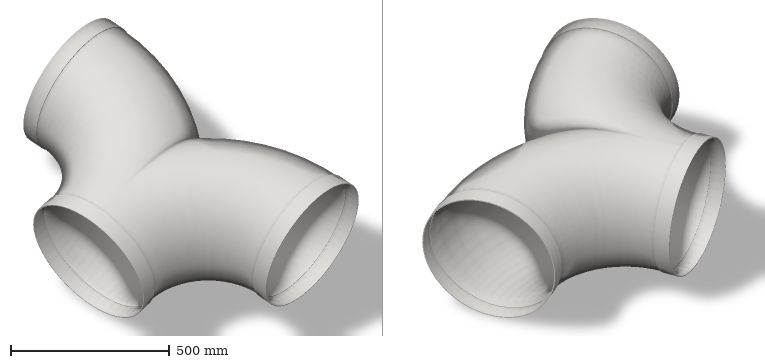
import cadquery as cq

span = 1000.0
tube_outer_dia = 450.0
tube_inner_dia = 446.0
collar_outer_dia = 457.0
collar_length = 53.0
socket_depth = 50.0
stem_stub = 3.5

bend_radius = span / 2 - collar_length
stem_mouth_y = -(stem_stub + collar_length)
trim_size = 2 * span


def tube_section():
    """Ring-shaped tube section at the start of the bends."""
    return cq.Workplane("XZ").circle(tube_outer_dia / 2).circle(tube_inner_dia / 2)


def collar(mouth, inward):
    """Collar with a socket bore at its mouth and a short tube-sized bore behind it."""
    plane = cq.Plane(origin=mouth, xDir=(0, 0, 1), normal=inward)
    body = cq.Workplane(plane).circle(collar_outer_dia / 2).extrude(collar_length)
    bore = cq.Workplane(plane).circle(tube_inner_dia / 2).extrude(collar_length)
    socket = cq.Workplane(plane).circle(tube_outer_dia / 2).extrude(socket_depth)
    return body.cut(bore).cut(socket)


def left_branch():
    """Left bend with its side collar, trimmed at the X = 0 plane."""
    bend = tube_section().revolve(90, (-bend_radius, 0, 0), (-bend_radius, 1, 0))
    left_side = cq.Workplane("XY").box(trim_size, trim_size, trim_size).translate((-trim_size / 2, 0, 0))
    side_collar = collar((-span / 2, bend_radius, 0), (1, 0, 0))
    return bend.intersect(left_side).union(side_collar)


stem = tube_section().extrude(stem_stub).union(collar((0, stem_mouth_y, 0), (0, 1, 0)))

left = left_branch()
result = stem.union(left).union(left.mirror("YZ"))